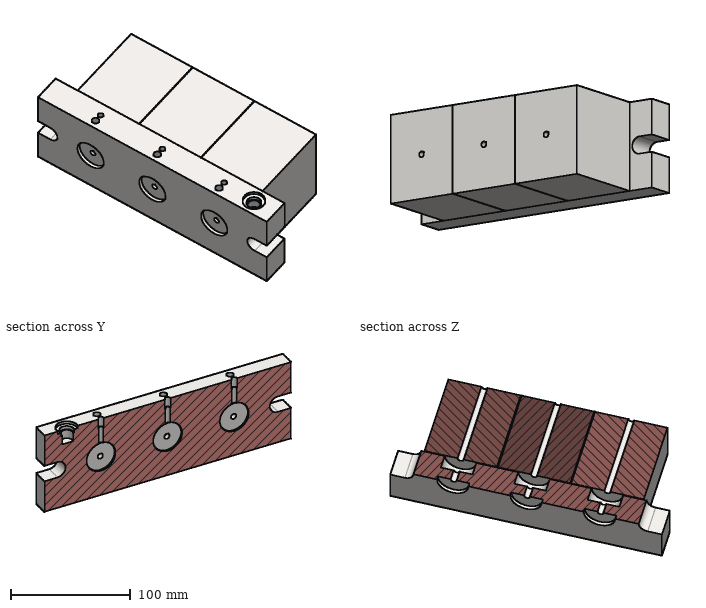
import cadquery as cq

PLATE_LENGTH = 235.0
HEIGHT = 76.1
OVERALL_DEPTH = 102.0
PLATE_THICKNESS = 25.4
PLATE_GAP = 0.12

BLOCK_COUNT = 3
STATION_PITCH = 63.5
BLOCK_GAP = 0.5
BLOCK_WIDTH = STATION_PITCH - BLOCK_GAP
BLOCK_FRONT = PLATE_THICKNESS + PLATE_GAP
BLOCK_DEPTH = OVERALL_DEPTH - BLOCK_FRONT
STATIONS = [(i - (BLOCK_COUNT - 1) / 2) * STATION_PITCH for i in range(BLOCK_COUNT)]

SLOT_WIDTH = 14.8
SLOT_LENGTH = 20.0

BORE_DIAMETER = 5.0
RECESS_DIAMETER = 27.0
FRONT_RECESS_DEPTH = 3.3
BACK_RECESS_FLOOR = 13.2

FRONT_HOLE_DIAMETER = 6.3
FRONT_HOLE_Y = 7.0
FRONT_HOLE_OVERLAP = 0.19
BACK_HOLE_DIAMETER = 5.0
BACK_HOLE_Y = 14.3
BACK_HOLE_OVERLAP = 0.5
HOLE_STEP = 0.5
HOLE_ENTRY_DEPTH = 9.5
TOP = HEIGHT / 2
FRONT_HOLE_DEPTH = TOP - BORE_DIAMETER / 2 + FRONT_HOLE_OVERLAP
BACK_HOLE_DEPTH = TOP - RECESS_DIAMETER / 2 + BACK_HOLE_OVERLAP

PORT_X = STATIONS[-1] + STATION_PITCH / 2
PORT_Y = 12.7
SPOTFACE_DIAMETER = 19.0
SPOTFACE_DEPTH = 2.5
PORT_MOUTH_DIAMETER = 12.5
PORT_DIAMETER = 10.5
PORT_MOUTH_DEPTH = 5.9
PORT_DEPTH = 14.0


def cylinder_along_y(diameter, x, y_start, y_end):
    """Cylinder at mid-height running from y_start to y_end."""
    return (
        cq.Workplane("XZ", origin=(x, y_start, 0))
        .circle(diameter / 2)
        .extrude(y_start - y_end)
    )


def hole_from_top(diameter, x, y, depth):
    """Flat-bottomed hole going down from the top face, with a slightly wider entry."""
    mouth = cq.Workplane("XY", origin=(x, y, TOP))
    hole = mouth.circle(diameter / 2 - HOLE_STEP).extrude(-depth)
    entry = mouth.circle(diameter / 2).extrude(-HOLE_ENTRY_DEPTH)
    return hole.union(entry)


def end_slot(side):
    """Round-ended slot through the plate, open at the end given by side (-1 or 1)."""
    end_x = side * PLATE_LENGTH / 2
    return (
        cq.Workplane("XZ", origin=(end_x, 0, 0))
        .slot2D(2 * SLOT_LENGTH, SLOT_WIDTH)
        .extrude(-PLATE_THICKNESS)
    )


def station_cuts(x):
    """Bore, recesses and top holes of one station."""
    bore = cylinder_along_y(BORE_DIAMETER, x, 0, PLATE_THICKNESS)
    front_recess = cylinder_along_y(RECESS_DIAMETER, x, 0, FRONT_RECESS_DEPTH)
    back_recess = cylinder_along_y(RECESS_DIAMETER, x, BACK_RECESS_FLOOR, PLATE_THICKNESS)
    front_hole = hole_from_top(FRONT_HOLE_DIAMETER, x, FRONT_HOLE_Y, FRONT_HOLE_DEPTH)
    back_hole = hole_from_top(BACK_HOLE_DIAMETER, x, BACK_HOLE_Y, BACK_HOLE_DEPTH)
    return [bore, front_recess, back_recess, front_hole, back_hole]


def supply_port():
    """Spotface, wider mouth and blind hole, revolved about the port's axis."""
    return (
        cq.Workplane("XZ", origin=(PORT_X, PORT_Y, TOP))
        .polyline([
            (0, 0),
            (SPOTFACE_DIAMETER / 2, 0),
            (SPOTFACE_DIAMETER / 2, -SPOTFACE_DEPTH),
            (PORT_MOUTH_DIAMETER / 2, -SPOTFACE_DEPTH),
            (PORT_MOUTH_DIAMETER / 2, -PORT_MOUTH_DEPTH),
            (PORT_DIAMETER / 2, -PORT_MOUTH_DEPTH),
            (PORT_DIAMETER / 2, -PORT_DEPTH),
            (0, -PORT_DEPTH),
        ])
        .close()
        .revolve(360, (0, 0, 0), (0, 1, 0))
    )


def make_plate():
    plate = cq.Workplane("XY").box(PLATE_LENGTH, PLATE_THICKNESS, HEIGHT, centered=(True, False, True))
    for side in (-1, 1):
        plate = plate.cut(end_slot(side))
    for x in STATIONS:
        for cut in station_cuts(x):
            plate = plate.cut(cut)
    return plate.cut(supply_port())


def make_block(x):
    """Plain block at one station, with the bore continuing through it."""
    front = cq.Workplane("XY", origin=(x, BLOCK_FRONT, 0))
    block = front.box(BLOCK_WIDTH, BLOCK_DEPTH, HEIGHT, centered=(True, False, True))
    return block.cut(cylinder_along_y(BORE_DIAMETER, x, BLOCK_FRONT, OVERALL_DEPTH))


plate = make_plate()
blocks = [make_block(x) for x in STATIONS]

result = cq.Compound.makeCompound([plate.val(), *[block.val() for block in blocks]])